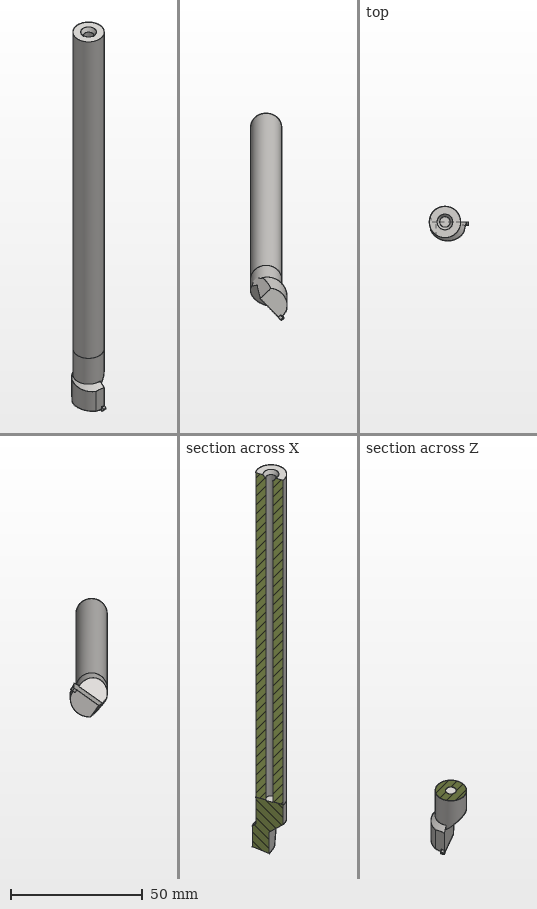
import cadquery as cq
import math

total_length = 181.2
shank_diameter = 12.0
joint_height = 25.7
bore_diameter = 4.0
bore_mouth_diameter = 6.0
bore_mouth_angle = 60


head_radius = shank_diameter / 2
shoulder_height = 13.0
lobe_radius = 7.2
lobe_offset = 1.0
side_flat_front_x = 8.2
side_flat_back_x = 7.2
rake_height = 10.9
runout_height = 16.5
flank_top_height = 15.5
flank_foot_x = -3.3
end_clearance_rise = 1.0
end_height = 0.5

nib_reach = 8.9
nib_depth = 1.3
nib_point_x = 8.2
nib_root_x = 6.9
nib_side_low = 0.9
nib_side_high = 1.5
nib_top = 2.2

cutter_size = 36.2


def make_shank():
    """Round bar with a central bore and a countersunk mouth."""
    length = total_length - joint_height
    bar = cq.Workplane("XY").workplane(offset=joint_height).circle(shank_diameter / 2).extrude(length)
    return bar.faces(">Z").workplane().cskHole(bore_diameter, bore_mouth_diameter, bore_mouth_angle)


def make_head_blank():
    """Round neck joined to an offset half-round lobe with a side flat, under a conical 45 degree shoulder."""
    neck = cq.Workplane("XY").circle(head_radius).extrude(joint_height)
    flat_back_y = -math.sqrt(lobe_radius ** 2 - (side_flat_back_x - lobe_offset) ** 2)
    lobe = (
        cq.Workplane("XY")
        .moveTo(lobe_offset - lobe_radius, 0)
        .lineTo(side_flat_front_x, 0)
        .lineTo(side_flat_back_x, flat_back_y)
        .threePointArc((lobe_offset, -lobe_radius), (lobe_offset - lobe_radius, 0))
        .close()
        .extrude(shoulder_height)
    )
    cone_radius = head_radius + shoulder_height
    shoulder = (
        cq.Workplane("XZ")
        .polyline([(0, 0), (cone_radius, 0), (head_radius, shoulder_height), (0, shoulder_height)])
        .close()
        .revolve(360, (0, 0, 0), (0, 1, 0))
    )
    return neck.union(lobe.intersect(shoulder))


def make_rake_cutter():
    """Removes the +Y half below the rake face and its sloping runout."""
    slope = (runout_height - rake_height) / head_radius
    return (
        cq.Workplane("YZ")
        .polyline([
            (0, -cutter_size),
            (0, rake_height),
            (cutter_size, rake_height + slope * cutter_size),
            (cutter_size, -cutter_size),
        ])
        .close()
        .extrude(cutter_size, both=True)
    )


def make_flank_cutter():
    """Removes the -X side below a plane tapering in towards the end."""
    slope = (flank_foot_x + head_radius) / flank_top_height
    return (
        cq.Workplane("XZ")
        .polyline([
            (-head_radius, flank_top_height),
            (flank_foot_x + slope * cutter_size, -cutter_size),
            (-cutter_size, -cutter_size),
            (-cutter_size, flank_top_height),
        ])
        .close()
        .extrude(cutter_size, both=True)
    )


def make_end_cutter():
    """Removes the end below a plane that rises away from the rake face."""
    slope = end_clearance_rise / lobe_radius
    return (
        cq.Workplane("YZ")
        .polyline([
            (cutter_size, end_height - slope * cutter_size),
            (-cutter_size, end_height + slope * cutter_size),
            (-cutter_size, -cutter_size),
            (cutter_size, -cutter_size),
        ])
        .close()
        .extrude(cutter_size, both=True)
    )


def make_nib():
    """Small cutting point standing out of the lower +X corner, behind the rake face."""
    return (
        cq.Workplane("XZ")
        .polyline([
            (nib_root_x, end_height),
            (nib_point_x, 0),
            (nib_reach, nib_side_low),
            (nib_reach, nib_side_high),
            (nib_point_x, nib_top),
            (nib_root_x, nib_top),
        ])
        .close()
        .extrude(nib_depth)
    )


def make_head():
    blank = make_head_blank()
    ground = blank.cut(make_rake_cutter()).cut(make_flank_cutter()).cut(make_end_cutter())
    return ground.union(make_nib())


shank = make_shank()
head = make_head()
result = cq.Compound.makeCompound([shank.val(), head.val()])